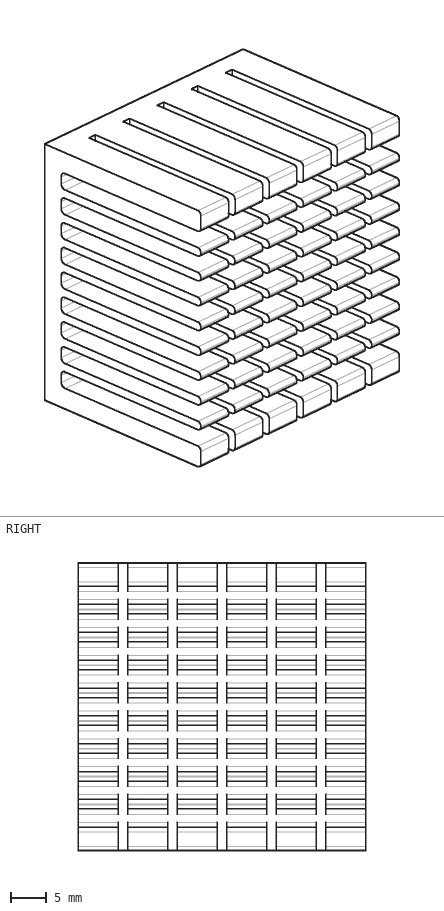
import cadquery as cq

depth = 30.0
width = 40.0
height = 40.0
base_thickness = 3.2

wall_thickness = 3.25
fin_thickness = 1.3
fin_count = 8
channel_count = fin_count + 1
channel_height = (height - 2 * wall_thickness - fin_count * fin_thickness) / channel_count
channel_pitch = channel_height + fin_thickness
root_radius = 0.7
tip_radius = 0.6

slot_width = 1.3
slot_count = 5
segment_width = (width - slot_count * slot_width) / (slot_count + 1)
slot_pitch = segment_width + slot_width

fin_length = depth - base_thickness


def box_from_corner(size_x, size_y, size_z, corner):
    return cq.Workplane("XY").box(size_x, size_y, size_z, centered=False).translate(corner)


def channel(bottom_z):
    """Space between two fins, with rounded corners at the fin roots."""
    space = box_from_corner(fin_length, width, channel_height, (base_thickness, 0, bottom_z))
    return space.edges("|Y and <X").fillet(root_radius)


def cross_slot(start_y):
    """Square-bottomed slot running the full height of the block."""
    return box_from_corner(fin_length, slot_width, height, (base_thickness, start_y, 0))


heat_sink = box_from_corner(depth, width, height, (0, 0, 0))

for index in range(channel_count):
    heat_sink = heat_sink.cut(channel(wall_thickness + index * channel_pitch))

heat_sink = heat_sink.faces(">X").edges("|Y").fillet(tip_radius)

for index in range(slot_count):
    heat_sink = heat_sink.cut(cross_slot(segment_width + index * slot_pitch))

result = heat_sink